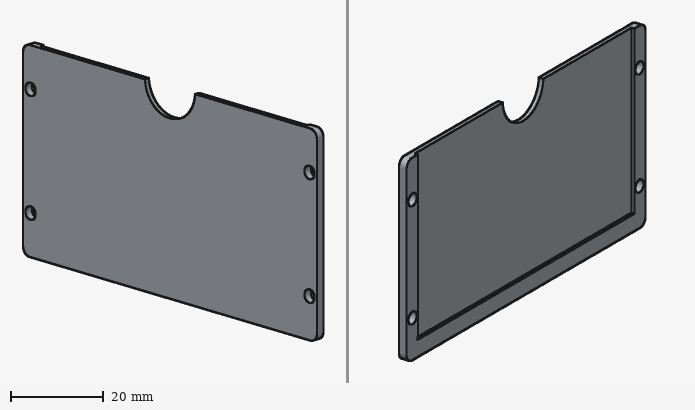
import cadquery as cq

width = 88.5
thickness = 2.0
height = 48.0
corner_radius = 2.0

recess_depth = 0.8
recess_width = 80.2
rim = (width - recess_width) / 2

notch_radius = 7.5
notch_depth = 7.2

hole_diameter = 3.0
hole_spacing_x = 84.0
hole_spacing_z = 28.0


def make_plate():
    """Rounded plate centred on the origin."""
    return cq.Workplane("XY").box(width, thickness, height).edges("|Y").fillet(corner_radius)


def make_recess():
    """Back pocket bounded by a rim of equal width at the sides and bottom."""
    recess_height = height - rim
    return (
        cq.Workplane("XY")
        .box(recess_width, recess_depth, recess_height)
        .translate((0, (thickness - recess_depth) / 2, rim / 2))
    )


def make_notch():
    """Cylinder along Y whose lowest point is notch_depth below the top edge."""
    center_z = height / 2 - notch_depth + notch_radius
    return (
        cq.Workplane("XZ")
        .center(0, center_z)
        .circle(notch_radius)
        .extrude(thickness, both=True)
    )


def make_holes():
    """Four through holes along Y in a rectangular pattern."""
    return (
        cq.Workplane("XZ")
        .rarray(hole_spacing_x, hole_spacing_z, 2, 2)
        .circle(hole_diameter / 2)
        .extrude(thickness, both=True)
    )


result = make_plate().cut(make_recess()).cut(make_notch()).cut(make_holes())